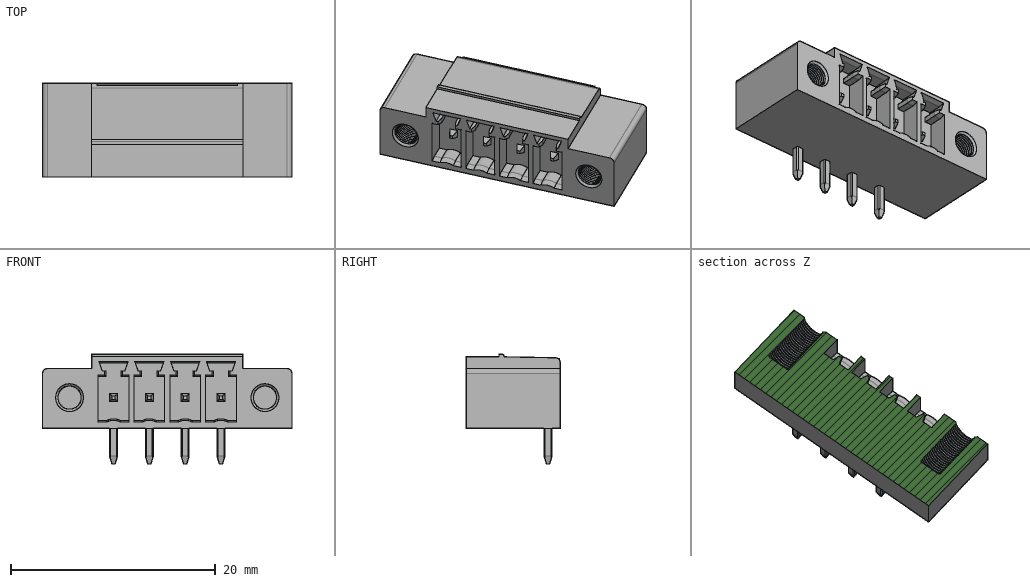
import cadquery as cq
HOUSING_LENGTH = 24.4
HOUSING_DEPTH = 9.2
FRONT_Y = -HOUSING_DEPTH / 2
REAR_Y = HOUSING_DEPTH / 2
FLANGE_HEIGHT = 5.85
FLANGE_CORNER_RADIUS = 0.5
CENTRE_LENGTH = 14.8
CENTRE_HEIGHT = 7.0
CENTRE_REAR_HEIGHT = 6.9
CENTRE_REAR_RADIUS = 0.5

RIB_FRONT_Y = -1.4
RIB_WIDTH = 0.5
RIB_TOP_Z = 7.25
RIB_REAR_RADIUS = 0.2
REAR_RIB_LENGTH = 13.7
REAR_RIB_WIDTH = 0.16
REAR_RIB_CENTRE_Y = 4.45
REAR_RIB_TOP_Z = 6.82
REAR_RIB_ROOT_Z = 6.2

CONTACT_COUNT = 4
PITCH = 3.5
CONTACT_X = [(i - (CONTACT_COUNT - 1) / 2) * PITCH for i in range(CONTACT_COUNT)]

OPENING_DEPTH = 2.0
LEAD_IN_DEPTH = 0.6
LEAD_IN_STEP = 0.15
OPENING_HALF_WIDTH = 1.5
OPENING_FLOOR_Z = 0.6
SHOULDER_Z = 5.22
NECK_HALF_WIDTH = 0.9
DOVETAIL_BOTTOM_Z = 5.6
DOVETAIL_BOTTOM_HALF_WIDTH = 1.1
DOVETAIL_TOP_Z = 6.55
DOVETAIL_TOP_HALF_WIDTH = 1.43
DOVETAIL_HEIGHT = DOVETAIL_TOP_Z - DOVETAIL_BOTTOM_Z
DOVETAIL_FLARE = (DOVETAIL_TOP_HALF_WIDTH - DOVETAIL_BOTTOM_HALF_WIDTH) / DOVETAIL_HEIGHT
FLOOR_BUMP_HALF_WIDTH = 0.7
FLOOR_BUMP_HEIGHT = 0.18

PIN_WIDTH = 0.8
PIN_EDGE_CHAMFER = 0.12
PIN_TIP_WIDTH = 0.32
SOLDER_PIN_LENGTH = 3.5
SOLDER_TAPER_LENGTH = 0.8
SOLDER_PIN_Y = 3.4
CONTACT_Z = 3.0
CONTACT_TAPER_LENGTH = 0.7
PIN_ROOT_LENGTH = 0.3

SCREW_X = 9.55
SCREW_Z = 3.0
SCREW_MOUTH_RADIUS = 1.36
SCREW_MAJOR_RADIUS = 1.22
SCREW_MINOR_RADIUS = 1.13
SCREW_MOUTH_DEPTH = 0.2
THREAD_PITCH = 0.25
THREAD_TURNS = 22


def make_housing():
    flanges = (
        cq.Workplane("XY")
        .box(HOUSING_LENGTH, HOUSING_DEPTH, FLANGE_HEIGHT, centered=(True, True, False))
        .edges("|Y and >Z")
        .fillet(FLANGE_CORNER_RADIUS)
    )
    rib_rear_y = RIB_FRONT_Y + RIB_WIDTH
    centre = (
        cq.Workplane("YZ", origin=(-CENTRE_LENGTH / 2, 0, 0))
        .moveTo(FRONT_Y, 0)
        .lineTo(REAR_Y, 0)
        .lineTo(REAR_Y, CENTRE_REAR_HEIGHT)
        .lineTo(rib_rear_y, CENTRE_HEIGHT)
        .lineTo(FRONT_Y, CENTRE_HEIGHT)
        .close()
        .extrude(CENTRE_LENGTH)
        .faces(">Y")
        .edges(">Z")
        .fillet(CENTRE_REAR_RADIUS)
    )
    return flanges.union(centre)


def make_top_rib():
    """Long rib across the centre block, rounded along its rear top edge."""
    return (
        cq.Workplane("XY", origin=(0, RIB_FRONT_Y + RIB_WIDTH / 2, FLANGE_HEIGHT))
        .box(CENTRE_LENGTH, RIB_WIDTH, RIB_TOP_Z - FLANGE_HEIGHT, centered=(True, True, False))
        .edges("|X and >Y and >Z")
        .fillet(RIB_REAR_RADIUS)
    )


def make_rear_rib():
    """Thin rib standing on the rounded rear edge of the centre block."""
    height = REAR_RIB_TOP_Z - REAR_RIB_ROOT_Z
    return cq.Workplane("XY", origin=(0, REAR_RIB_CENTRE_Y, REAR_RIB_ROOT_Z)).box(
        REAR_RIB_LENGTH, REAR_RIB_WIDTH, height, centered=(True, True, False)
    )


def opening_outline(plane, x, step):
    """Opening outline drawn on an XZ plane; step shrinks it towards the inside."""
    floor = OPENING_FLOOR_Z + step
    shoulder = SHOULDER_Z - step
    neck = NECK_HALF_WIDTH - step
    top = DOVETAIL_TOP_Z - step
    top_half_width = DOVETAIL_TOP_HALF_WIDTH - step * DOVETAIL_FLARE
    return (
        plane.moveTo(x - OPENING_HALF_WIDTH, floor)
        .lineTo(x - FLOOR_BUMP_HALF_WIDTH, floor)
        .threePointArc((x, floor + FLOOR_BUMP_HEIGHT), (x + FLOOR_BUMP_HALF_WIDTH, floor))
        .lineTo(x + OPENING_HALF_WIDTH, floor)
        .lineTo(x + OPENING_HALF_WIDTH, shoulder)
        .lineTo(x + neck, shoulder)
        .lineTo(x + neck, DOVETAIL_BOTTOM_Z)
        .lineTo(x + DOVETAIL_BOTTOM_HALF_WIDTH, DOVETAIL_BOTTOM_Z)
        .lineTo(x + top_half_width, top)
        .lineTo(x - top_half_width, top)
        .lineTo(x - DOVETAIL_BOTTOM_HALF_WIDTH, DOVETAIL_BOTTOM_Z)
        .lineTo(x - neck, DOVETAIL_BOTTOM_Z)
        .lineTo(x - neck, shoulder)
        .lineTo(x - OPENING_HALF_WIDTH, shoulder)
        .close()
    )


def make_opening(x):
    """Tapered lead-in at the front face followed by a straight pocket."""
    front = cq.Workplane("XZ", origin=(0, FRONT_Y, 0))
    lead_in = opening_outline(front, x, 0).workplane(offset=-LEAD_IN_DEPTH)
    lead_in = opening_outline(lead_in, x, LEAD_IN_STEP).loft(ruled=True)
    inner = cq.Workplane("XZ", origin=(0, FRONT_Y + LEAD_IN_DEPTH, 0))
    pocket = opening_outline(inner, x, LEAD_IN_STEP).extrude(LEAD_IN_DEPTH - OPENING_DEPTH)
    return lead_in.union(pocket)


def make_pin_tip(length):
    """Square tip tapering along +Z from a base at Z = 0."""
    return (
        cq.Workplane("XY")
        .rect(PIN_WIDTH, PIN_WIDTH)
        .workplane(offset=length)
        .rect(PIN_TIP_WIDTH, PIN_TIP_WIDTH)
        .loft(ruled=True)
    )


def make_solder_pin():
    """Solder pin along -Z with chamfered edges and a tapered tip, rooted inside the housing."""
    shank_length = SOLDER_PIN_LENGTH - SOLDER_TAPER_LENGTH
    shank = cq.Workplane("XY").rect(PIN_WIDTH, PIN_WIDTH).extrude(-PIN_ROOT_LENGTH - shank_length)
    chamfered_bar = (
        cq.Workplane("XY", origin=(0, 0, -PIN_ROOT_LENGTH - shank_length))
        .rect(PIN_WIDTH, PIN_WIDTH)
        .extrude(PIN_ROOT_LENGTH + SOLDER_PIN_LENGTH)
        .edges("|Z")
        .chamfer(PIN_EDGE_CHAMFER)
    )
    pin = shank.union(make_pin_tip(SOLDER_TAPER_LENGTH)).intersect(chamfered_bar)
    return pin.rotate((0, 0, 0), (1, 0, 0), 180).translate((0, SOLDER_PIN_Y, -shank_length))


def make_contact_tip():
    """Tapered end of a contact, standing on the rear wall of its opening and pointing along -Y."""
    tip = make_pin_tip(CONTACT_TAPER_LENGTH).rotate((0, 0, 0), (1, 0, 0), 90)
    return tip.translate((0, FRONT_Y + OPENING_DEPTH, CONTACT_Z))


def make_screw_hole(x):
    """Blind hole along +Y: conical mouth, then ring-shaped V grooves."""
    hole = cq.Workplane("XY").lineTo(SCREW_MOUTH_RADIUS, 0)
    hole = hole.lineTo(SCREW_MINOR_RADIUS, SCREW_MOUTH_DEPTH)
    for turn in range(THREAD_TURNS):
        start = SCREW_MOUTH_DEPTH + turn * THREAD_PITCH
        hole = hole.lineTo(SCREW_MAJOR_RADIUS, start + THREAD_PITCH / 2)
        hole = hole.lineTo(SCREW_MINOR_RADIUS, start + THREAD_PITCH)
    depth = SCREW_MOUTH_DEPTH + THREAD_TURNS * THREAD_PITCH
    hole = hole.lineTo(0, depth).close().revolve(360, (0, 0, 0), (0, 1, 0))
    return hole.translate((x, FRONT_Y, SCREW_Z))


result = make_housing().union(make_top_rib()).union(make_rear_rib())

for side in (-1, 1):
    result = result.cut(make_screw_hole(side * SCREW_X))

solder_pin = make_solder_pin()
contact_tip = make_contact_tip()
for contact_x in CONTACT_X:
    result = result.cut(make_opening(contact_x))
    result = result.union(solder_pin.translate((contact_x, 0, 0)))
    result = result.union(contact_tip.translate((contact_x, 0, 0)))